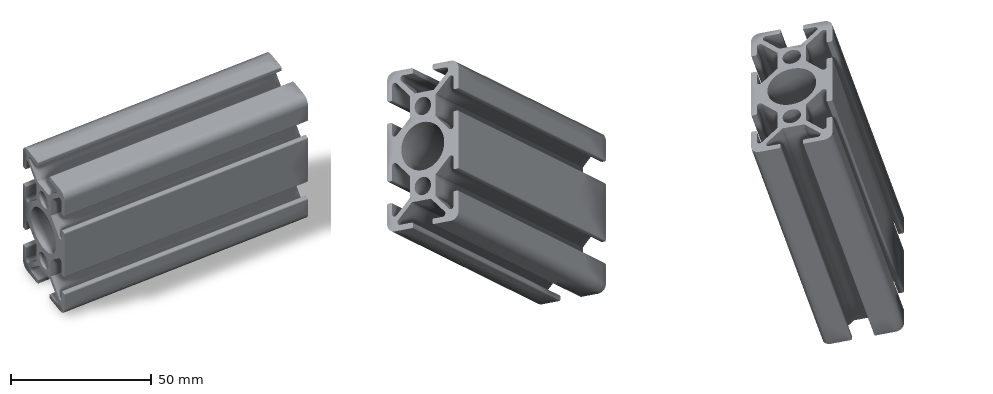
import cadquery as cq

cell = 30.0
height = 2 * cell
length = 100.0
corner_radius = 3.2

slot_opening = 8.2
lip_thickness = 2.1
lip_edge_radius = 0.5
core_half_width = 5.3
slot_floor_half_width = 4.0
slot_offset = 0.6
slot_tip_radius = 1.1

core_bore_diameter = 6.8
centre_bore_diameter = 18.0

half_cell = cell / 2
half_opening = slot_opening / 2
chamber_top = half_cell - lip_thickness
cell_centres = (-half_cell, half_cell)

match_tolerance = 0.01


def end_plane():
    """Sketch plane on the -Y end, with X to the right and Z up."""
    return cq.Workplane("XZ", origin=(0, -length / 2, 0))


def slot_cutter(angle, cell_z):
    """T-slot facing +Z in its cell, turned about the cell axis by angle (90 makes it face -X)."""
    chamber_half_width = slot_floor_half_width + chamber_top - core_half_width
    chamber = (
        end_plane()
        .polyline([
            (-slot_offset - slot_floor_half_width, core_half_width),
            (-slot_offset + slot_floor_half_width, core_half_width),
            (-slot_offset + chamber_half_width, chamber_top),
            (-slot_offset - chamber_half_width, chamber_top),
        ])
        .close()
        .extrude(-length)
        .edges("|Y and >Z")
        .fillet(slot_tip_radius)
    )
    mouth = (
        end_plane()
        .center(0, half_cell - lip_thickness / 2)
        .rect(slot_opening, lip_thickness)
        .extrude(-length)
    )
    return (
        chamber.union(mouth)
        .rotate((0, 0, 0), (0, -1, 0), angle)
        .translate((0, 0, cell_z))
    )


def bore(diameter, z):
    """Round through bore along Y."""
    return end_plane().center(0, z).circle(diameter / 2).extrude(-length)


def is_lip_edge(edge):
    """True for a lengthwise edge beside a slot opening, on the outer or inner face of a lip."""
    middle = edge.Center()
    across = abs(middle.x)
    along = abs(abs(middle.z) - half_cell)
    beside_opening = abs(min(across, along) - half_opening) < match_tolerance
    depth = max(across, along)
    on_lip_face = any(abs(depth - face) < match_tolerance for face in (half_cell, chamber_top))
    return beside_opening and on_lip_face


result = (
    end_plane()
    .rect(cell, height)
    .extrude(-length)
    .edges("|Y")
    .fillet(corner_radius)
)

for cell_z in cell_centres:
    for angle in (90, -90):
        result = result.cut(slot_cutter(angle, cell_z))
result = result.cut(slot_cutter(0, half_cell))
result = result.cut(slot_cutter(180, -half_cell))

result = result.edges("|Y").filter(is_lip_edge).fillet(lip_edge_radius)

for cell_z in cell_centres:
    result = result.cut(bore(core_bore_diameter, cell_z))
result = result.cut(bore(centre_bore_diameter, 0))